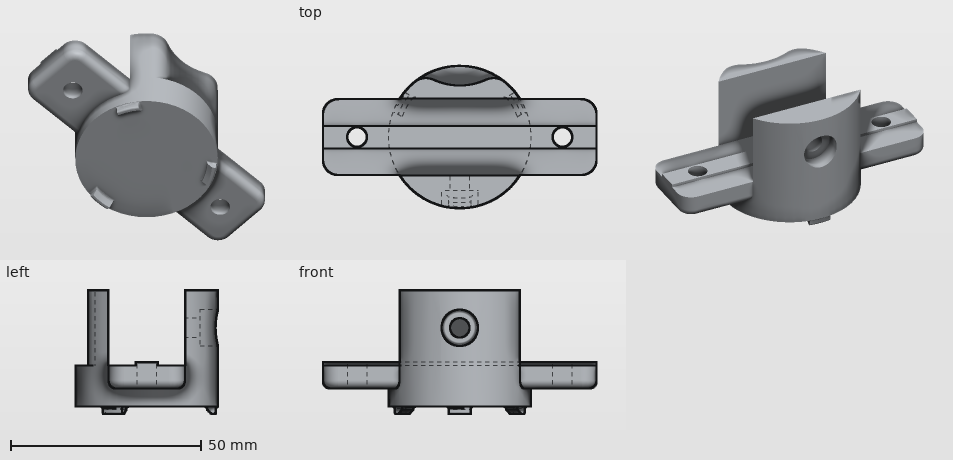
import cadquery as cq
import math

body_diameter = 37.5
body_radius = body_diameter / 2
base_height = 10.9
body_height = 30.7
wall_gap = 20.15

bar_length = 72
bar_width = 20.0
bar_bottom = 4.75
bar_corner_radius = 4.0
bar_edge_radius = 2.0
rail_width = 5.9
rail_height = 0.9
bar_hole_diameter = 5.1
bar_hole_spacing = 54

scallop_radius = 32.5 / 2
scallop_floor_y = 13.5
scallop_blend_radius = 5.0

bore_height = 20.7
bore_diameter = 5.1
counterbore_diameter = 9.6
counterbore_floor_y = -14.05

foot_angles = (30, 150, 270)
foot_width = 5.9
foot_height = 1.95
foot_inner_radius = 32.1 / 2
foot_outer_radius = 18.3
foot_slope = 1.2
foot_edge_radius = 0.5
foot_root_radius = 0.4


def make_front_wall():
    """Segment of the round body in front of the bar, full height."""
    front_block = (
        cq.Workplane("XY")
        .box(body_diameter, body_radius, body_height, centered=(True, False, False))
        .translate((0, -wall_gap / 2 - body_radius, 0))
    )
    return cq.Workplane("XY").circle(body_radius).extrude(body_height).intersect(front_block)


def make_rear_wall():
    """Segment behind the bar, with a concave back blended into the round body."""
    inner_y = wall_gap / 2
    inner_x = math.sqrt(body_radius**2 - inner_y**2)
    scallop_center_y = scallop_floor_y + scallop_radius

    to_body = body_radius - scallop_blend_radius
    to_scallop = scallop_radius + scallop_blend_radius
    blend_y = (to_body**2 - to_scallop**2 + scallop_center_y**2) / (2 * scallop_center_y)
    blend_x = math.sqrt(to_body**2 - blend_y**2)

    body_tangent_x = blend_x * body_radius / to_body
    body_tangent_y = blend_y * body_radius / to_body
    scallop_tangent_x = blend_x * scallop_radius / to_scallop
    scallop_tangent_y = scallop_center_y + (blend_y - scallop_center_y) * scallop_radius / to_scallop
    blend_top_y = blend_y + scallop_blend_radius

    side_angle = (math.atan2(inner_y, inner_x) + math.atan2(blend_y, blend_x)) / 2
    side_x = body_radius * math.cos(side_angle)
    side_y = body_radius * math.sin(side_angle)

    return (
        cq.Workplane("XY")
        .moveTo(-inner_x, inner_y)
        .lineTo(inner_x, inner_y)
        .threePointArc((side_x, side_y), (body_tangent_x, body_tangent_y))
        .threePointArc((blend_x, blend_top_y), (scallop_tangent_x, scallop_tangent_y))
        .threePointArc((0, scallop_floor_y), (-scallop_tangent_x, scallop_tangent_y))
        .threePointArc((-blend_x, blend_top_y), (-body_tangent_x, body_tangent_y))
        .threePointArc((-side_x, side_y), (-inner_x, inner_y))
        .close()
        .extrude(body_height)
    )


def make_bar():
    """Round-cornered bar with a rounded bottom edge and a square rail on top."""
    plate = (
        cq.Workplane("XY", origin=(0, 0, bar_bottom))
        .rect(bar_length, bar_width)
        .extrude(base_height - bar_bottom)
        .edges("|Z")
        .fillet(bar_corner_radius)
        .faces("<Z")
        .edges()
        .fillet(bar_edge_radius)
    )
    rail = (
        cq.Workplane("XY", origin=(0, 0, base_height))
        .rect(bar_length, rail_width)
        .extrude(rail_height)
    )
    return plate.union(rail)


def make_foot(angle):
    """Foot with curved inner and outer faces, straight sides and a sloped inner tip."""
    ring = (
        cq.Workplane("XZ")
        .moveTo(foot_inner_radius, base_height / 2)
        .lineTo(foot_inner_radius, foot_slope - foot_height)
        .lineTo(foot_inner_radius + foot_slope, -foot_height)
        .lineTo(foot_outer_radius - foot_edge_radius, -foot_height)
        .radiusArc((foot_outer_radius, foot_edge_radius - foot_height), -foot_edge_radius)
        .lineTo(foot_outer_radius, base_height / 2)
        .close()
        .revolve(360, (0, 0, 0), (0, 1, 0))
    )
    strip = (
        cq.Workplane("XY", origin=(0, 0, -foot_height))
        .rect(body_radius, foot_width)
        .extrude(base_height)
        .translate((body_radius, 0, 0))
    )
    return ring.intersect(strip).rotate((0, 0, 0), (0, 0, 1), angle)


def make_bore():
    """Cutter for the hole and counterbore through the front wall."""
    def cylinder(diameter, start_y, end_y):
        return (
            cq.Workplane("XZ", origin=(0, start_y, bore_height))
            .circle(diameter / 2)
            .extrude(start_y - end_y)
        )

    hole = cylinder(bore_diameter, 0, counterbore_floor_y)
    counterbore = cylinder(counterbore_diameter, counterbore_floor_y, -body_radius)
    return hole.union(counterbore)


def make_base():
    """Round base standing on three feet, each blended into its underside."""
    base = cq.Workplane("XY").circle(body_radius).extrude(base_height)
    for angle in foot_angles:
        base = base.union(make_foot(angle))
    underside = base.faces(cq.selectors.NearestToPointSelector((0, 0, 0))).val()
    foot_outlines = [edge for wire in underside.innerWires() for edge in wire.Edges()]
    return base.newObject(foot_outlines).fillet(foot_root_radius)


def make_bar_holes():
    """Cutter for the two vertical holes near the ends of the bar."""
    return (
        cq.Workplane("XY")
        .pushPoints([(-bar_hole_spacing / 2, 0), (bar_hole_spacing / 2, 0)])
        .circle(bar_hole_diameter / 2)
        .extrude(body_height)
    )


result = (
    make_base()
    .union(make_front_wall())
    .union(make_rear_wall())
    .union(make_bar())
    .cut(make_bore())
    .cut(make_bar_holes())
)